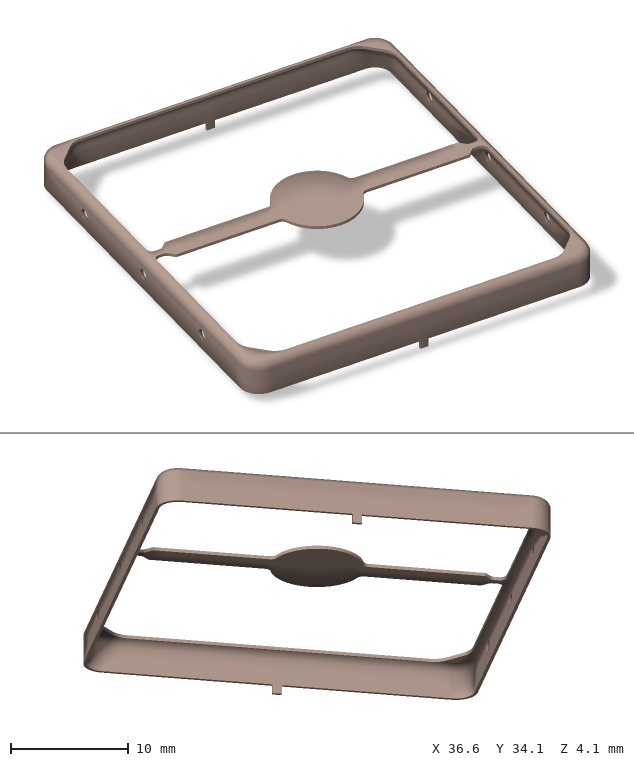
import cadquery as cq
import math

length_x = 36.6
width_y = 34.1
total_height = 4.1
tab_height = 0.8
body_height = total_height - tab_height
thickness = 0.3
corner_radius = 1.9
top_round = 0.8

rim_width = top_round
opening_x = length_x - 2 * rim_width
opening_y = width_y - 2 * rim_width
web_leg = 2.35
web_end_radius = 1.98

disc_diameter = 8.0
bridge_width = 2.0
neck_width = 0.7
neck_length = 1.2
bridge_corner_radius = 0.6

hole_diameter = 1.0
hole_pitch = 10.0
holes_per_wall = 3
hole_depth_from_top = 1.8

tab_width = 0.8

half_bridge = bridge_width / 2
half_neck = neck_width / 2
rim_y = opening_y / 2
neck_end_y = rim_y - neck_length
shoulder_y = neck_end_y - (half_bridge - half_neck)
disc_junction_y = math.sqrt((disc_diameter / 2) ** 2 - half_bridge**2)


def rounded_block(size_x, size_y, height, side_radius, edge_radius):
    """Block standing on Z = 0 with rounded vertical edges and a rounded top edge."""
    block = cq.Workplane("XY").rect(size_x, size_y).extrude(height)
    return block.edges("|Z").fillet(side_radius).faces(">Z").edges().fillet(edge_radius)


def make_shell():
    outer = rounded_block(length_x, width_y, body_height, corner_radius, top_round)
    cavity = rounded_block(
        length_x - 2 * thickness,
        width_y - 2 * thickness,
        body_height - thickness,
        corner_radius - thickness,
        top_round - thickness,
    )
    return outer.cut(cavity)


def make_bridge():
    """Bridge outline with sharp corners, as tall as the body."""
    quarter_outline = [
        (half_bridge, shoulder_y),
        (half_neck, neck_end_y),
        (half_neck, rim_y),
    ]
    right_side = [(x, -y) for x, y in reversed(quarter_outline)] + quarter_outline
    left_side = [(-x, y) for x, y in reversed(right_side)]
    arms = cq.Workplane("XY").polyline(right_side + left_side).close().extrude(body_height)
    disc = cq.Workplane("XY").circle(disc_diameter / 2).extrude(body_height)
    return arms.union(disc)


def vertical_edge_at(x, y):
    """Selector for the upright edge whose middle is at (x, y)."""
    reach = 0.05
    middle = body_height / 2
    return cq.selectors.BoxSelector(
        (x - reach, y - reach, middle - reach),
        (x + reach, y + reach, middle + reach),
    )


def make_opening():
    """Cutter for the top opening: a rectangle with cut corners, less the bridge."""
    opening = cq.Workplane("XY").rect(opening_x, opening_y).extrude(body_height)
    opening = opening.edges("|Z").chamfer(web_leg)
    opening = opening.edges("|Z").fillet(web_end_radius)
    opening = opening.cut(make_bridge())
    rounded_corners = [
        (half_neck, rim_y),
        (half_neck, neck_end_y),
        (half_bridge, disc_junction_y),
    ]
    for x, y in rounded_corners:
        for side_x in (-1, 1):
            for side_y in (-1, 1):
                corner = vertical_edge_at(side_x * x, side_y * y)
                opening = opening.edges(corner).fillet(bridge_corner_radius)
    return opening


def make_holes():
    return (
        cq.Workplane("XZ", origin=(0, 0, body_height - hole_depth_from_top))
        .rarray(hole_pitch, 0.35, holes_per_wall, 1)
        .circle(hole_diameter / 2)
        .extrude(width_y, both=True)
    )


def make_tabs():
    return (
        cq.Workplane("XY", origin=(0, 0, -tab_height))
        .rarray(length_x - thickness, 0.35, 2, 1)
        .rect(thickness, tab_width)
        .extrude(tab_height)
    )


result = make_shell().cut(make_opening()).cut(make_holes()).union(make_tabs())